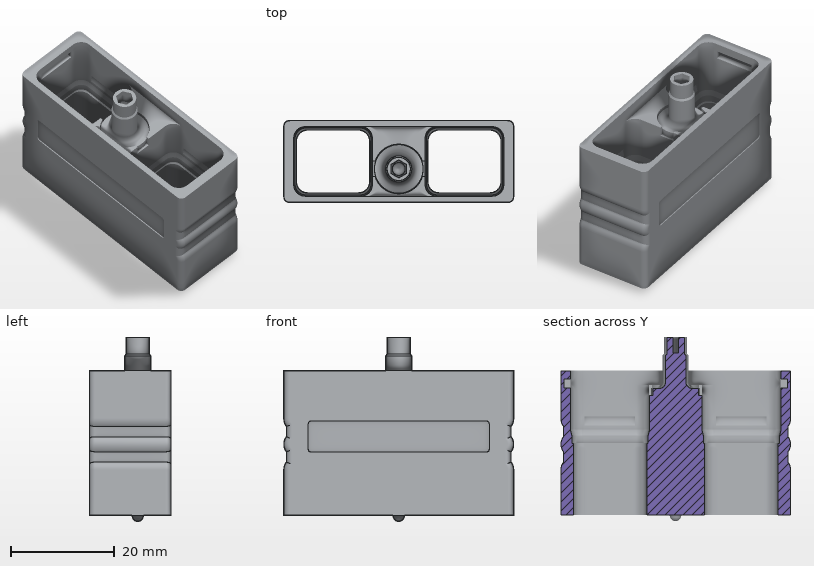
import cadquery as cq
import math

length = 44.45
width = 15.83
height = 28.0
corner_radius = 1.1

grip_middle_z = 13.76
grip_pitch = 4.9
grip_depth = 0.5
ridge_half_height = 1.45
ridge_radius = (ridge_half_height**2 + grip_depth**2) / (2 * grip_depth)

panel_length = 35.0
panel_height = 6.0
panel_middle_z = 15.25
panel_depth = 0.2
panel_corner_radius = 0.6

pocket_spacing = 25.4
pocket_length = 15.2
pocket_width = 13.45
pocket_corner_radius = 2.25
web_top_z = 25.2
lead_in_top_z = 16.55
lead_in_bottom_z = 15.4
lead_in_width = 0.28
ledge_z = 14.0
window_length = 14.1
window_width = 12.1
window_corner_radius = 2.1
pocket_centres = [(side * pocket_spacing / 2, 0) for side in (-1, 1)]
rim_length = pocket_spacing + pocket_length

end_notch_length = 8.0
end_notch_bottom_z = 24.65
end_notch_height = 1.65
end_notch_depth = 1.2
side_notch_length = 9.8
side_notch_top_z = 19.05
side_notch_height = 1.75
side_notch_depth = 0.45

pin_y = -1.45
seat_diameter = 9.6
seat_floor_z = 23.25
seat_slot_width = 3.0
flange_diameter = 9.4
flange_top_z = 24.6
pin_diameter = 5.04
pin_root_radius = 1.0
pin_shoulder_z = height + 2.86
neck_diameter = 4.5
neck_start_z = height + 3.22
pin_top_z = height + 6.4
socket_across_flats = 3.0
socket_depth = 3.0
socket_tip_diameter = 2.5
socket_tip_slope = 30.0
socket_tip_depth = socket_tip_diameter / 2 * math.tan(math.radians(socket_tip_slope))

tip_length = 1.15
tip_root_radius = 1.15
tip_cone_length = 0.5
tip_cone_end_radius = 0.98


def rounded_prism(size_x, size_y, radius, bottom_z, top_z, centres):
    """Upright prisms with rounded vertical edges at the given centres."""
    return (
        cq.Workplane("XY", origin=(0, 0, bottom_z))
        .pushPoints(centres)
        .rect(size_x, size_y)
        .extrude(top_z - bottom_z)
        .edges("|Z")
        .fillet(radius)
    )


def make_grip_cutter():
    """Space between the ridges of the grip at the +X end."""
    face_x = length / 2
    floor_x = face_x - grip_depth
    bend = ridge_half_height / 2
    bend_x = face_x - ridge_radius + math.sqrt(ridge_radius**2 - bend**2)
    cutter = cq.Workplane("XZ")
    for low_peak_z in (grip_middle_z - grip_pitch, grip_middle_z):
        high_peak_z = low_peak_z + grip_pitch
        cutter = (
            cutter.moveTo(face_x, low_peak_z)
            .threePointArc((bend_x, low_peak_z + bend), (floor_x, low_peak_z + ridge_half_height))
            .lineTo(floor_x, high_peak_z - ridge_half_height)
            .threePointArc((bend_x, high_peak_z - bend), (face_x, high_peak_z))
            .close()
        )
    return cutter.extrude(width / 2, both=True)


def make_shell():
    """Solid block with grips, rounded upright edges and the label recess."""
    block = cq.Workplane("XY").box(length, width, height, centered=(True, True, False))
    grip = make_grip_cutter()
    block = block.cut(grip).cut(grip.mirror("YZ"))
    end_zone = length / 2 - corner_radius
    corner_edges = [
        edge
        for edge in block.faces("<Y or >Y").edges().vals()
        if edge.BoundingBox().xmin > end_zone or edge.BoundingBox().xmax < -end_zone
    ]
    block = block.newObject(corner_edges).fillet(corner_radius)
    panel = (
        cq.Workplane("XZ", origin=(0, -width / 2, panel_middle_z))
        .rect(panel_length, panel_height)
        .extrude(-panel_depth)
        .edges("|Y")
        .fillet(panel_corner_radius)
    )
    return block.cut(panel)


def cut_pockets(body):
    """Common rim opening, two pockets with a tapered lead-in, and through windows."""
    rim = rounded_prism(rim_length, pocket_width, pocket_corner_radius, web_top_z, height, [(0, 0)])
    pockets = rounded_prism(
        pocket_length, pocket_width, pocket_corner_radius, lead_in_top_z, web_top_z, pocket_centres
    )
    seats = rounded_prism(
        pocket_length - 2 * lead_in_width,
        pocket_width - 2 * lead_in_width,
        pocket_corner_radius - lead_in_width,
        ledge_z,
        lead_in_bottom_z,
        pocket_centres,
    )
    windows = rounded_prism(
        window_length, window_width, window_corner_radius, 0, ledge_z, pocket_centres
    )
    body = body.cut(rim).cut(pockets).cut(seats).cut(windows)
    taper = math.degrees(math.atan2(lead_in_width, lead_in_top_z - lead_in_bottom_z))
    for centre in pocket_centres:
        outline = cq.Sketch().rect(pocket_length, pocket_width).vertices().fillet(pocket_corner_radius)
        lead_in = (
            cq.Workplane("XY", origin=(*centre, lead_in_top_z))
            .placeSketch(outline)
            .extrude(lead_in_bottom_z - lead_in_top_z, taper=taper)
        )
        body = body.cut(lead_in)
    return body


def cut_snap_notches(body):
    """Square notches in the end walls and flat-roofed wedges in the long walls."""
    end_notch_x = (rim_length + end_notch_depth) / 2
    end_notches = (
        cq.Workplane("XY", origin=(0, 0, end_notch_bottom_z))
        .pushPoints([(-end_notch_x, 0), (end_notch_x, 0)])
        .rect(end_notch_depth, end_notch_length)
        .extrude(end_notch_height)
    )
    body = body.cut(end_notches)
    side_wall_y = pocket_width / 2
    for centre_x, _ in pocket_centres:
        side_notch = (
            cq.Workplane("YZ", origin=(centre_x, 0, 0))
            .moveTo(side_wall_y, side_notch_top_z)
            .lineTo(side_wall_y + side_notch_depth, side_notch_top_z)
            .lineTo(side_wall_y, side_notch_top_z - side_notch_height)
            .close()
            .extrude(side_notch_length / 2, both=True)
        )
        body = body.cut(side_notch).cut(side_notch.mirror("XZ"))
    return body


def cut_pin_seat(body):
    """Round flange seat in the web, opened to both pockets by a slot."""
    depth = web_top_z - seat_floor_z
    floor = cq.Workplane("XY", origin=(0, pin_y, seat_floor_z))
    seat = floor.circle(seat_diameter / 2).extrude(depth)
    slot = floor.rect(pocket_spacing - pocket_length, seat_slot_width).extrude(depth)
    return body.cut(seat).cut(slot)


def make_pin():
    """Stepped pin with a flange, a root fillet and a drilled hexagon socket."""
    pin_radius = pin_diameter / 2
    root_bend = pin_root_radius * (1 - math.sqrt(0.5))
    pin = (
        cq.Workplane("XZ", origin=(0, pin_y, 0))
        .moveTo(0, seat_floor_z)
        .lineTo(flange_diameter / 2, seat_floor_z)
        .lineTo(flange_diameter / 2, flange_top_z)
        .lineTo(pin_radius + pin_root_radius, flange_top_z)
        .threePointArc(
            (pin_radius + root_bend, flange_top_z + root_bend),
            (pin_radius, flange_top_z + pin_root_radius),
        )
        .lineTo(pin_radius, pin_shoulder_z)
        .lineTo(neck_diameter / 2, neck_start_z)
        .lineTo(neck_diameter / 2, pin_top_z)
        .lineTo(0, pin_top_z)
        .close()
        .revolve(360, (0, 0), (0, 1))
    )
    socket_floor_z = pin_top_z - socket_depth
    socket = (
        cq.Workplane("XY", origin=(0, pin_y, socket_floor_z))
        .polygon(6, socket_across_flats, circumscribed=True)
        .extrude(socket_depth)
    )
    socket_tip = cq.Workplane(
        cq.Solid.makeCone(
            socket_tip_diameter / 2,
            0,
            socket_tip_depth,
            pnt=(0, pin_y, socket_floor_z),
            dir=(0, 0, -1),
        )
    )
    return pin.cut(socket).cut(socket_tip)


def make_pin_tip():
    """Short cone ending in a spherical cap, standing out of the bottom face."""
    cap_height = tip_length - tip_cone_length
    cap_radius = (tip_cone_end_radius**2 + cap_height**2) / (2 * cap_height)
    bend = tip_cone_end_radius / 2
    bend_z = -tip_length + cap_radius - math.sqrt(cap_radius**2 - bend**2)
    return (
        cq.Workplane("XZ", origin=(0, pin_y, 0))
        .lineTo(tip_root_radius, 0)
        .lineTo(tip_cone_end_radius, -tip_cone_length)
        .threePointArc((bend, bend_z), (0, -tip_length))
        .close()
        .revolve(360, (0, 0), (0, 1))
    )


housing = cut_pin_seat(cut_snap_notches(cut_pockets(make_shell())))
result = housing.union(make_pin()).union(make_pin_tip())